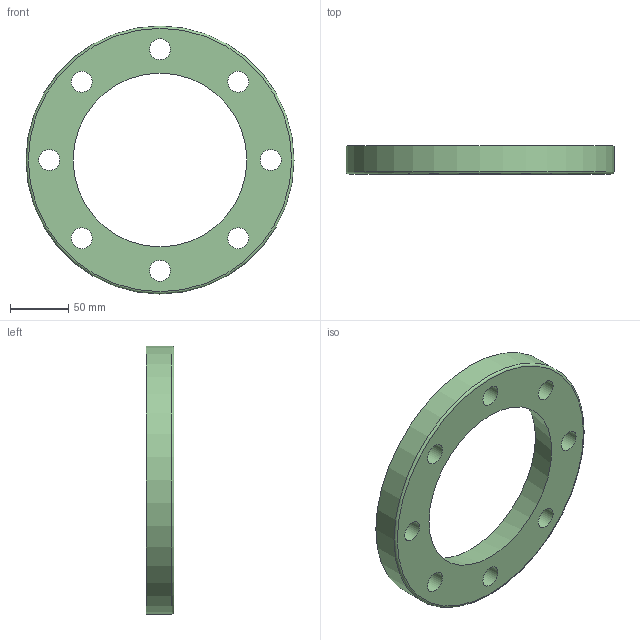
import cadquery as cq
import math

outer_diameter = 230.0
front_bore_diameter = 149.0
bore_taper_angle = 10.0
thickness = 24.0
rim_fillet = 2.0
bolt_hole_count = 8
bolt_hole_diameter = 18.0
bolt_circle_diameter = 190.0

back_y = thickness / 2
back_bore_diameter = front_bore_diameter + 2 * thickness * math.tan(math.radians(bore_taper_angle))


def back_plane():
    """Workplane on the back face; extrusions run from it toward the front face."""
    return cq.Workplane("XZ", origin=(0, back_y, 0))


def rounded_disc():
    """Solid disc with its front outer rim rounded."""
    disc = back_plane().circle(outer_diameter / 2).extrude(thickness)
    return disc.faces("<Y").edges().fillet(rim_fillet)


def tapered_bore():
    """Conical cutter for the centre opening, narrowing from the back face to the front."""
    return (
        back_plane()
        .circle(back_bore_diameter / 2)
        .workplane(offset=thickness)
        .circle(front_bore_diameter / 2)
        .loft(ruled=True)
    )


def bolt_holes():
    """Through-hole cutters evenly spaced on the bolt circle, the first one on +X."""
    return (
        back_plane()
        .polarArray(bolt_circle_diameter / 2, 0, 360, bolt_hole_count)
        .circle(bolt_hole_diameter / 2)
        .extrude(thickness)
    )


result = rounded_disc().cut(tapered_bore()).cut(bolt_holes())